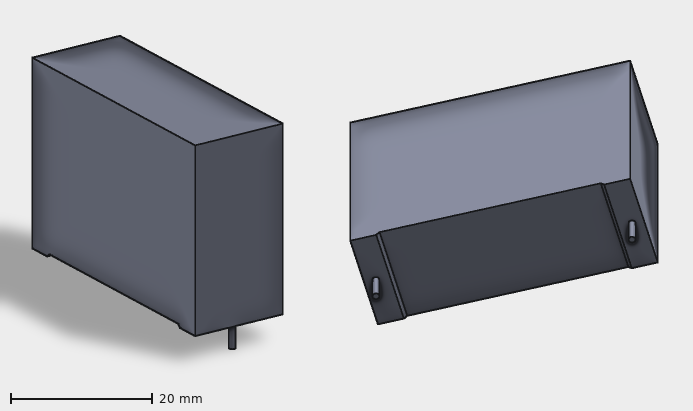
import cadquery as cq


length = 41.0
width = 15.0
total_height = 33.0
pin_length = 4.0
housing_height = total_height - pin_length

relief_depth = 0.5
foot_length = 3.8

pin_diameter = 1.0
pin_spacing = 37.5
bend_radius = 2 * pin_diameter
bridge_height = 4 * pin_diameter


def make_lead_wire():
    """Round wire bent into a bridge inside the housing, with a pin at each end."""
    pin_x = pin_spacing / 2
    bend_start_x = pin_x - bend_radius
    bend_start_z = bridge_height - bend_radius
    path = (
        cq.Workplane("XZ")
        .moveTo(-pin_x, -pin_length)
        .lineTo(-pin_x, bend_start_z)
        .tangentArcPoint((-bend_start_x, bridge_height), relative=False)
        .lineTo(bend_start_x, bridge_height)
        .tangentArcPoint((pin_x, bend_start_z), relative=False)
        .lineTo(pin_x, -pin_length)
    )
    return (
        cq.Workplane("XY", origin=(-pin_x, 0, -pin_length))
        .circle(pin_diameter / 2)
        .sweep(path)
    )


def make_housing(lead_wire):
    """Block with a full-width relief under its middle and a channel that fits the wire."""
    foot_x = length / 2 - foot_length
    relief_x = foot_x - relief_depth
    block = (
        cq.Workplane("XZ")
        .moveTo(-length / 2, 0)
        .lineTo(-foot_x, 0)
        .lineTo(-relief_x, relief_depth)
        .lineTo(relief_x, relief_depth)
        .lineTo(foot_x, 0)
        .lineTo(length / 2, 0)
        .lineTo(length / 2, housing_height)
        .lineTo(-length / 2, housing_height)
        .close()
        .extrude(width / 2, both=True)
    )
    return block.cut(lead_wire).solids()


lead_wire = make_lead_wire()
housing = make_housing(lead_wire)

result = cq.Compound.makeCompound([housing.val(), lead_wire.val()])